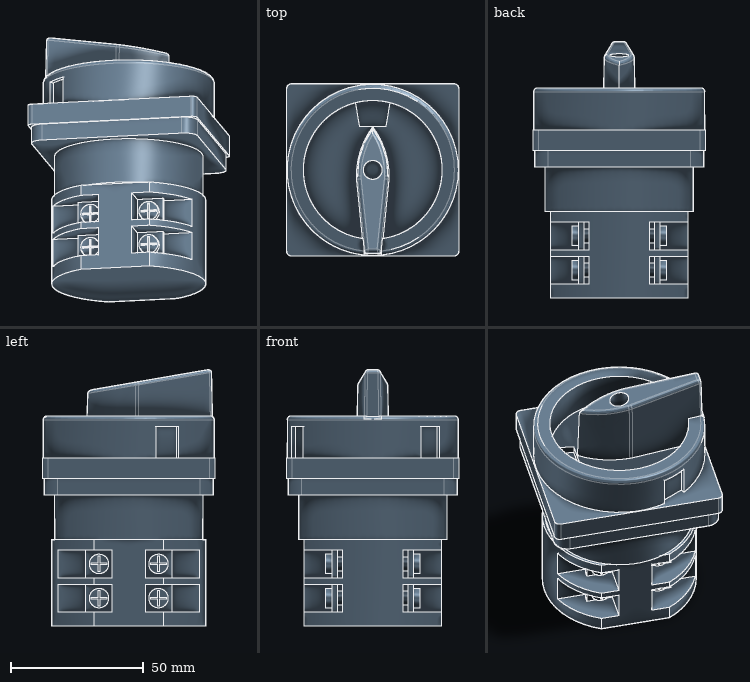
import cadquery as cq
import math

BLOCK_TOP = 32.6
COLLAR_TOP = 49.4
BACK_PLATE_TOP = 55.6
FRONT_PLATE_TOP = 63.4
DIAL_FLOOR = 66.3
RING_TOP = 79.25
OVERALL_HEIGHT = 96.66

CUT_ALLOWANCE = 1.0

BLOCK_DIAMETER = 58.1
BLOCK_FLAT_WIDTH = 51.8
COLLAR_DIAMETER = 56.0

POCKET_BOTTOMS = (5.35, 18.25)
POCKET_HEIGHT = 10.45
POCKET_INNER_X = 11.45
POCKET_INNER_Y = 6.4
CLAMP_INNER_X = 13.25
CLAMP_THICKNESS = 2.1
CLAMP_LENGTH = 9.9
SCREW_Y = 11.2
SCREW_HEAD_DIAMETER = 7.3
SCREW_HEAD_HEIGHT = 2.45
SCREW_SHANK_DIAMETER = 5.2
CROSS_LENGTH = 5.9
CROSS_WIDTH = 0.6
CROSS_DEPTH = 1.0

FRONT_PLATE_SIDE = 64.99
FRONT_PLATE_CORNER = 2.0
BACK_PLATE_SIDE = 63.8
BACK_PLATE_CORNER = 5.1

RING_DIAMETER = 64.5
RING_BORE = 52.3
RING_EDGE_RADIUS = 1.5
WINDOW_INNER_Y = 16.4
WINDOW_INNER_WIDTH = 10.0
WINDOW_SIDE_ANGLE = 9.5
NOTCH_ANGLES = (207.0, 312.8)
NOTCH_WIDTH = 9.6
NOTCH_FLOOR_DISTANCE = 30.3
NOTCH_TOP = 75.15

HANDLE_TIP_Y = 16.2
HANDLE_SHOULDER_Y = -2.5
HANDLE_WIDTH = 12.35
HANDLE_TAIL_Y = -31.8
HANDLE_TAIL_WIDTH = 6.6
HANDLE_NOSE_RADIUS = 31.0
HANDLE_BLEND_LENGTH = 1.2
HANDLE_TAIL_RADIUS = 0.9
HANDLE_DRAFT = 1.15
HANDLE_SLOPE = 9.8
HANDLE_TOP_RADIUS = 1.25
HANDLE_HIGHEST_Y = -29.85
HANDLE_HOLE_DIAMETER = 7.1
HANDLE_HOLE_DEPTH = 10.0

HANDLE_FOOT_WIDTH = 6.6
HANDLE_FOOT_UPPER_Y = -31.4
HANDLE_FOOT_LOWER_Y = -32.2
HANDLE_FOOT_HEIGHT = 1.15


def cylinder(diameter, bottom, top):
    """Upright cylinder on the Z axis."""
    return cq.Workplane("XY").workplane(offset=bottom).circle(diameter / 2).extrude(top - bottom)


def square_plate(side, corner_radius, bottom, top):
    """Square plate with rounded vertical corners."""
    plate = cq.Workplane("XY").workplane(offset=bottom).rect(side, side).extrude(top - bottom)
    return plate.edges("|Z").fillet(corner_radius)


def span_box(x_range, y_range, z_range):
    """Box between two limits on each axis."""
    size = [high - low for low, high in (x_range, y_range, z_range)]
    corner = (x_range[0], y_range[0], z_range[0])
    return cq.Workplane("XY").box(*size, centered=False).translate(corner)


def x_cylinder(diameter, x_start, x_end, y, z):
    """Cylinder along X."""
    base = cq.Workplane("YZ", origin=(x_start, y, z))
    return base.circle(diameter / 2).extrude(x_end - x_start)


def in_all_corners(shape):
    """Shape of the +X +Y corner together with its three mirror images."""
    pair = shape.union(shape.mirror("YZ"))
    return pair.union(pair.mirror("XZ"))


def terminal_pocket(bottom):
    """Open space of one terminal in the +X +Y corner."""
    reach = BLOCK_DIAMETER / 2
    return span_box((POCKET_INNER_X, reach), (POCKET_INNER_Y, reach), (bottom, bottom + POCKET_HEIGHT))


def terminal(bottom):
    """Clamp plate and cross-head screw of one terminal in the +X +Y corner."""
    clamp_outer_x = CLAMP_INNER_X + CLAMP_THICKNESS
    head_outer_x = clamp_outer_x + SCREW_HEAD_HEIGHT
    screw_z = bottom + POCKET_HEIGHT / 2
    clamp = span_box(
        (CLAMP_INNER_X, clamp_outer_x),
        (POCKET_INNER_Y, POCKET_INNER_Y + CLAMP_LENGTH),
        (bottom, bottom + POCKET_HEIGHT),
    )
    shank = x_cylinder(SCREW_SHANK_DIAMETER, POCKET_INNER_X, clamp_outer_x, SCREW_Y, screw_z)
    head = x_cylinder(SCREW_HEAD_DIAMETER, clamp_outer_x, head_outer_x, SCREW_Y, screw_z)
    cross_base = cq.Workplane("YZ", origin=(head_outer_x, SCREW_Y, screw_z))
    for size in ((CROSS_LENGTH, CROSS_WIDTH), (CROSS_WIDTH, CROSS_LENGTH)):
        head = head.cut(cross_base.rect(*size).extrude(-CROSS_DEPTH))
    return clamp.union(shank).union(head)


def contact_block():
    """Flatted cylinder with its terminal pockets and terminals."""
    flats = cq.Workplane("XY").rect(BLOCK_FLAT_WIDTH, BLOCK_DIAMETER).extrude(BLOCK_TOP)
    block = cylinder(BLOCK_DIAMETER, 0, BLOCK_TOP).intersect(flats)
    for bottom in POCKET_BOTTOMS:
        block = block.cut(in_all_corners(terminal_pocket(bottom)))
        block = block.union(in_all_corners(terminal(bottom)))
    return block


def dial_window():
    """Trapezoidal window in the dial floor, widening towards the ring bore."""
    outer_y = math.sqrt((RING_BORE / 2) ** 2 - (WINDOW_INNER_WIDTH / 2) ** 2) + CUT_ALLOWANCE
    inner_half = WINDOW_INNER_WIDTH / 2
    outer_half = inner_half + (outer_y - WINDOW_INNER_Y) * math.tan(math.radians(WINDOW_SIDE_ANGLE))
    outline = [
        (-inner_half, WINDOW_INNER_Y),
        (inner_half, WINDOW_INNER_Y),
        (outer_half, outer_y),
        (-outer_half, outer_y),
    ]
    depth = DIAL_FLOOR - FRONT_PLATE_TOP
    window = cq.Workplane("XY").workplane(offset=FRONT_PLATE_TOP).polyline(outline).close().extrude(depth)
    return window.intersect(cylinder(RING_BORE, FRONT_PLATE_TOP, DIAL_FLOOR))


def ring_notch(angle):
    """Flat-bottomed notch in the outside of the ring, facing the given direction."""
    half_width = NOTCH_WIDTH / 2
    notch = span_box(
        (NOTCH_FLOOR_DISTANCE, RING_DIAMETER / 2 + CUT_ALLOWANCE),
        (-half_width, half_width),
        (FRONT_PLATE_TOP, NOTCH_TOP),
    )
    return notch.rotate((0, 0, 0), (0, 0, 1), angle)


def dial_housing():
    """Cup with a rounded rim, a window in its floor and notches around it."""
    housing = cylinder(RING_DIAMETER, FRONT_PLATE_TOP, RING_TOP)
    housing = housing.faces(">Z").edges().fillet(RING_EDGE_RADIUS)
    housing = housing.cut(cylinder(RING_BORE, DIAL_FLOOR, RING_TOP))
    housing = housing.cut(dial_window())
    for angle in NOTCH_ANGLES:
        housing = housing.cut(ring_notch(angle))
    return housing


def nose_midpoint(half_width):
    """Point halfway along the +X nose arc, from the shoulder to the tip."""
    run = HANDLE_TIP_Y - HANDLE_SHOULDER_Y
    chord = math.hypot(half_width, run)
    sagitta = HANDLE_NOSE_RADIUS - math.sqrt(HANDLE_NOSE_RADIUS**2 - (chord / 2) ** 2)
    middle_x = half_width / 2 + sagitta * run / chord
    middle_y = (HANDLE_TIP_Y + HANDLE_SHOULDER_Y) / 2 + sagitta * half_width / chord
    return middle_x, middle_y


def handle_top(y):
    """Height of the sloping handle top, before rounding."""
    return OVERALL_HEIGHT + (HANDLE_HIGHEST_Y - y) * math.tan(math.radians(HANDLE_SLOPE))


def space_above_handle():
    """Everything above the sloping handle top."""
    reach = RING_DIAMETER
    profile = [
        (-reach, handle_top(-reach)),
        (reach, handle_top(reach)),
        (reach, 2 * OVERALL_HEIGHT),
        (-reach, 2 * OVERALL_HEIGHT),
    ]
    base = cq.Workplane("YZ", origin=(-reach / 2, 0, 0))
    return base.polyline(profile).close().extrude(reach)


def handle():
    """Pointed, drafted handle with a sloping rounded top and a blind hole."""
    half_width = HANDLE_WIDTH / 2
    half_tail = HANDLE_TAIL_WIDTH / 2
    middle_x, middle_y = nose_midpoint(half_width)
    tail_lean = (half_width - half_tail) / (HANDLE_SHOULDER_Y - HANDLE_TAIL_Y)
    blend_x = half_width - tail_lean * HANDLE_BLEND_LENGTH / 2
    blend_y = HANDLE_SHOULDER_Y - HANDLE_BLEND_LENGTH
    outline = (
        cq.Workplane("XY")
        .moveTo(-half_tail, HANDLE_TAIL_Y)
        .lineTo(half_tail, HANDLE_TAIL_Y)
        .lineTo(blend_x, blend_y)
        .lineTo(half_width, HANDLE_SHOULDER_Y)
        .threePointArc((middle_x, middle_y), (0, HANDLE_TIP_Y))
        .threePointArc((-middle_x, middle_y), (-half_width, HANDLE_SHOULDER_Y))
        .lineTo(-blend_x, blend_y)
        .close()
    )
    body = outline.extrude(OVERALL_HEIGHT - DIAL_FLOOR + CUT_ALLOWANCE, taper=HANDLE_DRAFT)
    body = body.translate((0, 0, DIAL_FLOOR))
    tail_corners = body.faces("<Y").edges("not #Z")
    body = tail_corners.fillet(HANDLE_TAIL_RADIUS)
    body = body.cut(space_above_handle())
    body = body.faces(">Z").edges().fillet(HANDLE_TOP_RADIUS)
    hole = cylinder(HANDLE_HOLE_DIAMETER, handle_top(0) - HANDLE_HOLE_DEPTH, OVERALL_HEIGHT)
    return body.cut(hole)


def handle_foot():
    """Sloping toe that joins the tail of the handle to the rounded rim."""
    foot_bottom = RING_TOP - HANDLE_FOOT_HEIGHT
    profile = [
        (-RING_BORE / 2, foot_bottom),
        (HANDLE_FOOT_LOWER_Y, foot_bottom),
        (HANDLE_FOOT_UPPER_Y, RING_TOP),
        (-RING_BORE / 2, RING_TOP),
    ]
    base = cq.Workplane("YZ", origin=(-HANDLE_FOOT_WIDTH / 2, 0, 0))
    return base.polyline(profile).close().extrude(HANDLE_FOOT_WIDTH)


result = (
    contact_block()
    .union(cylinder(COLLAR_DIAMETER, BLOCK_TOP, COLLAR_TOP))
    .union(square_plate(BACK_PLATE_SIDE, BACK_PLATE_CORNER, COLLAR_TOP, BACK_PLATE_TOP))
    .union(square_plate(FRONT_PLATE_SIDE, FRONT_PLATE_CORNER, BACK_PLATE_TOP, FRONT_PLATE_TOP))
    .union(dial_housing())
    .union(handle())
    .union(handle_foot())
)